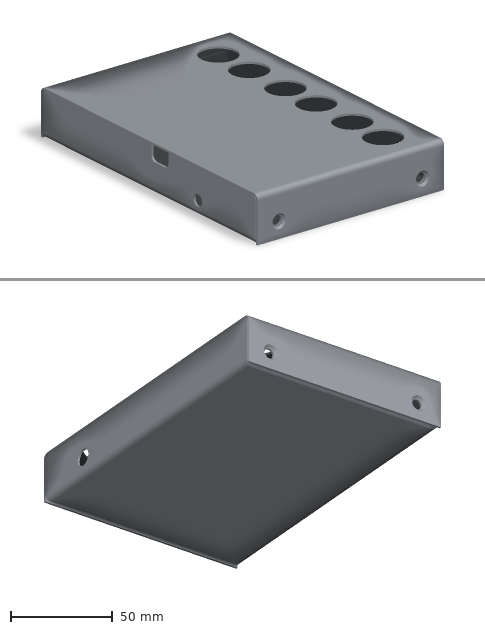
import cadquery as cq

LENGTH = 174.4
WIDTH = 115.8
HEIGHT = 26.9

SHEET = 1.2
BEND_OUTER = 3.0
BEND_INNER = BEND_OUTER - SHEET

SIDE_GAP = 0.44
TRAY_LENGTH = LENGTH - 2 * (SHEET + SIDE_GAP)
TRAY_HEIGHT = HEIGHT - SHEET
SIDE_WALL_HEIGHT = 17.8
SLOT_WIDTH = 2.5

TOP_HOLE_DIAMETER = 21.0
TOP_HOLE_Y = 36.1
TOP_HOLE_PITCH = 24.8
PAIR_PITCH = 53.9
PAIR_COUNT = 3

SCREW_Y = 44.5
SCREW_Z = 9.5
COUNTERSINK_DIAMETER = 8.4
COVER_SCREW_DIAMETER = 6.1
TRAY_SCREW_DIAMETER = 5.4

USB_X = 8.7
USB_WIDTH = 13.6
USB_DEPTH = 8.7
USB_CORNER_RADIUS = 3.0

GPS_DIAMETER = 6.6
GPS_X = 39.2
GPS_Z = 8.0
CABLE_DIAMETER = 9.0
CABLE_X = 53.9
CABLE_Z = 10.1


def upright_block(length, width, height, base_z):
    """Block centred in X and Y that stands on the level base_z."""
    block = cq.Workplane("XY").box(length, width, height, centered=(True, True, False))
    return block.translate((0, 0, base_z))


def cylinder_along_y(diameter, x, z, start_y, depth):
    """Cutter that starts at start_y and runs toward +Y."""
    cutter = cq.Solid.makeCylinder(
        diameter / 2, depth, cq.Vector(x, start_y, z), cq.Vector(0, 1, 0)
    )
    return cq.Workplane(cutter)


def top_hole_centres():
    """Centres of the openings in the top, pair by pair."""
    centres = []
    for pair in range(PAIR_COUNT):
        pair_x = (pair - (PAIR_COUNT - 1) / 2) * PAIR_PITCH
        for side in (-1, 1):
            centres.append((pair_x + side * TOP_HOLE_PITCH / 2, TOP_HOLE_Y))
    return centres


def cut_countersinks(body):
    """Cone-shaped screw holes that narrow through the cover sides."""
    for side in (-1, 1):
        for y in (-SCREW_Y, SCREW_Y):
            cone = cq.Solid.makeCone(
                COUNTERSINK_DIAMETER / 2,
                COVER_SCREW_DIAMETER / 2,
                SHEET,
                cq.Vector(side * LENGTH / 2, y, SCREW_Z),
                cq.Vector(-side, 0, 0),
            )
            body = body.cut(cq.Workplane(cone))
    return body


def make_cover():
    """Inverted channel with a top, two sides and rounded bends."""
    outer = upright_block(LENGTH, WIDTH, HEIGHT, 0)
    outer = outer.edges("|Y and >Z").fillet(BEND_OUTER)
    inner = upright_block(LENGTH - 2 * SHEET, WIDTH, HEIGHT - SHEET, 0)
    inner = inner.edges("|Y and >Z").fillet(BEND_INNER)
    cover = outer.cut(inner)

    top_cutter = (
        cq.Workplane("XY", origin=(0, 0, HEIGHT - SHEET))
        .pushPoints(top_hole_centres())
        .circle(TOP_HOLE_DIAMETER / 2)
        .extrude(SHEET)
    )
    return cut_countersinks(cover.cut(top_cutter))


def make_tray_shell():
    """Open tray with rounded bottom bends and lower side walls."""
    outer = upright_block(TRAY_LENGTH, WIDTH, TRAY_HEIGHT, 0)
    outer = outer.edges("<Z").fillet(BEND_OUTER)
    outer = outer.edges("|Y and >Z").fillet(BEND_INNER)

    inner_length = TRAY_LENGTH - 2 * SHEET
    inner_width = WIDTH - 2 * SHEET
    inner = upright_block(inner_length, inner_width, TRAY_HEIGHT - SHEET, SHEET)
    inner = inner.edges("<Z").fillet(BEND_INNER)

    above_sides = upright_block(
        TRAY_LENGTH, inner_width, TRAY_HEIGHT - SIDE_WALL_HEIGHT, SIDE_WALL_HEIGHT
    )
    tray = outer.cut(inner).cut(above_sides)

    slot = upright_block(TRAY_LENGTH, SLOT_WIDTH, TRAY_HEIGHT - BEND_OUTER, BEND_OUTER)
    slot_y = (inner_width - SLOT_WIDTH) / 2
    for side in (-1, 1):
        tray = tray.cut(slot.translate((0, side * slot_y, 0)))
    return tray


def cut_usb_notch(body):
    """Notch with two rounded lower corners, open at the top of the front wall."""
    notch = (
        upright_block(USB_WIDTH, SHEET, USB_DEPTH, TRAY_HEIGHT - USB_DEPTH)
        .edges("|Y and <Z")
        .fillet(USB_CORNER_RADIUS)
        .translate((USB_X, (SHEET - WIDTH) / 2, 0))
    )
    return body.cut(notch)


def make_tray():
    """Tray with its connector openings and screw holes."""
    tray = cut_usb_notch(make_tray_shell())
    tray = tray.cut(cylinder_along_y(GPS_DIAMETER, GPS_X, GPS_Z, -WIDTH / 2, SHEET))
    tray = tray.cut(cylinder_along_y(CABLE_DIAMETER, CABLE_X, CABLE_Z, WIDTH / 2 - SHEET, SHEET))

    screw_cutter = (
        cq.Workplane("YZ")
        .pushPoints([(-SCREW_Y, SCREW_Z), (SCREW_Y, SCREW_Z)])
        .circle(TRAY_SCREW_DIAMETER / 2)
        .extrude(TRAY_LENGTH / 2, both=True)
    )
    return tray.cut(screw_cutter)


cover = make_cover()
tray = make_tray()

result = cq.Compound.makeCompound([cover.val(), tray.val()])